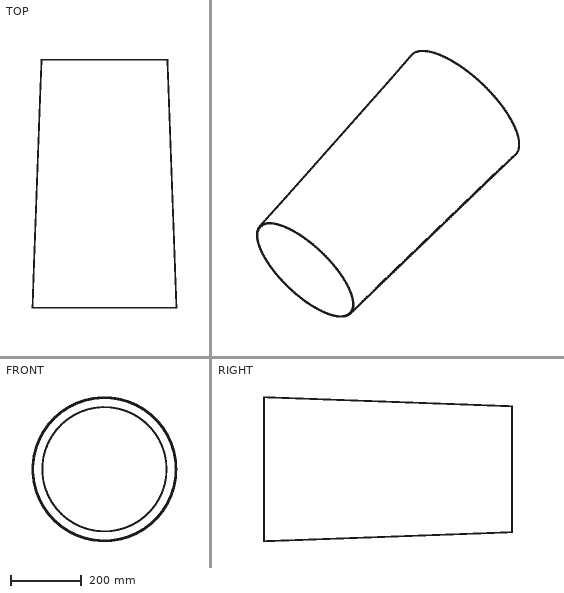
import cadquery as cq

length = 700.0
wide_diameter = 407.0
narrow_diameter = 355.5
wall = 3.0

wide_radius = wide_diameter / 2
narrow_radius = narrow_diameter / 2
front_y = -length / 2
back_y = length / 2

wall_section = [
    (wide_radius - wall, front_y),
    (wide_radius, front_y),
    (narrow_radius, back_y),
    (narrow_radius - wall, back_y),
]

result = cq.Workplane("XY").polyline(wall_section).close().revolve(360, (0, 0, 0), (0, 1, 0))